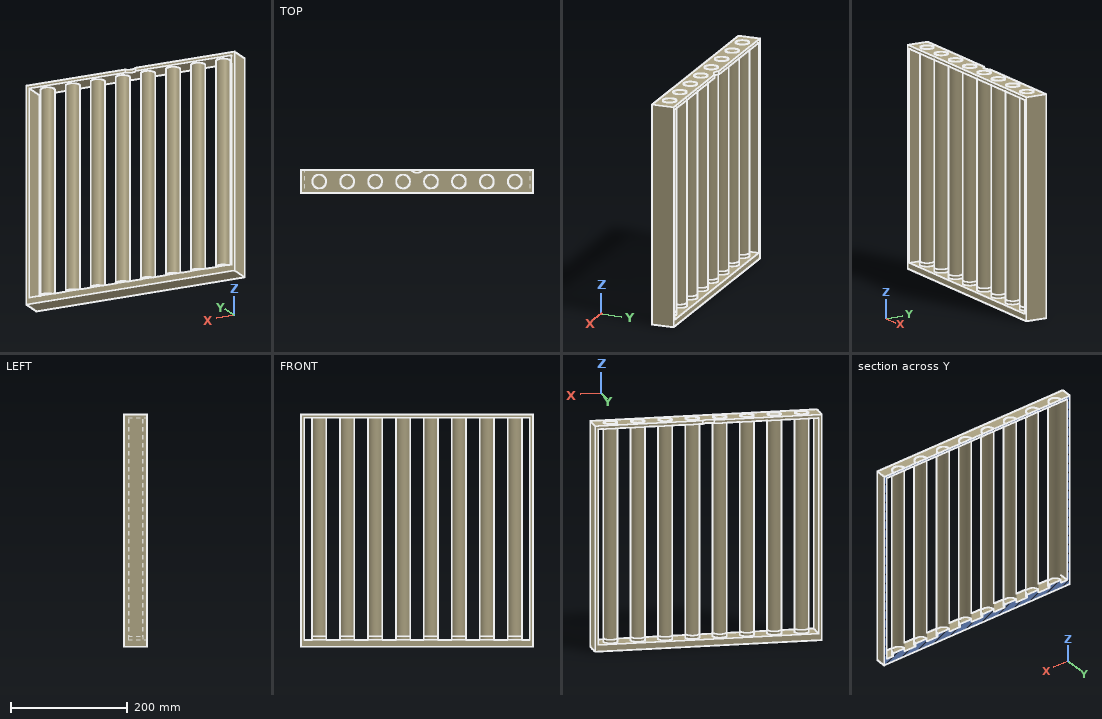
import cadquery as cq
frame_width = 399.0
frame_depth = 40.0
frame_height = 399.0
side_thickness = 6.0
top_thickness = 6.0
bottom_thickness = 12.0

bar_count = 8
bar_pitch = 48.0
bar_diameter = 25.0
bar_bore_diameter = 24.0
bar_plug_height = 6.0

peg_diameter = 24.0
peg_projection = 0.4
peg_recess_diameter = 23.0
peg_recess_depth = 0.4

notch_diameter = 25.0
notch_depth = 5.0

opening_bottom = bottom_thickness
opening_top = frame_height - top_thickness


def make_frame():
    """Rectangular frame standing on Z = 0 and centred on X and Y."""
    opening_width = frame_width - 2 * side_thickness
    opening_height = opening_top - opening_bottom
    outer = cq.Workplane("XY").box(frame_width, frame_depth, frame_height, centered=(True, True, False))
    opening = (
        cq.Workplane("XY")
        .workplane(offset=opening_bottom)
        .box(opening_width, frame_depth, opening_height, centered=(True, True, False))
    )
    return outer.cut(opening)


def make_cylinder_row(diameter, z_start, z_end):
    """One vertical cylinder at each bar position."""
    return (
        cq.Workplane("XY")
        .workplane(offset=z_start)
        .rarray(bar_pitch, 1, bar_count, 1)
        .circle(diameter / 2)
        .extrude(z_end - z_start)
    )


def make_notch():
    """Cylinder that cuts the rear edge of the top rail."""
    centre_y = frame_depth / 2 - notch_depth + notch_diameter / 2
    return (
        cq.Workplane("XY")
        .workplane(offset=opening_top)
        .center(0, centre_y)
        .circle(notch_diameter / 2)
        .extrude(top_thickness)
    )


def add_bars(body):
    """Hollow bars between the rails, with shallow-dished pegs through the top rail."""
    peg_top = frame_height + peg_projection
    bars = make_cylinder_row(bar_diameter, opening_bottom, opening_top)
    pegs = make_cylinder_row(peg_diameter, opening_top, peg_top)
    recesses = make_cylinder_row(peg_recess_diameter, peg_top - peg_recess_depth, peg_top)
    bores = make_cylinder_row(bar_bore_diameter, opening_bottom + bar_plug_height, opening_top)
    return body.union(bars).union(pegs).cut(recesses).cut(bores)


result = add_bars(make_frame().cut(make_notch()))